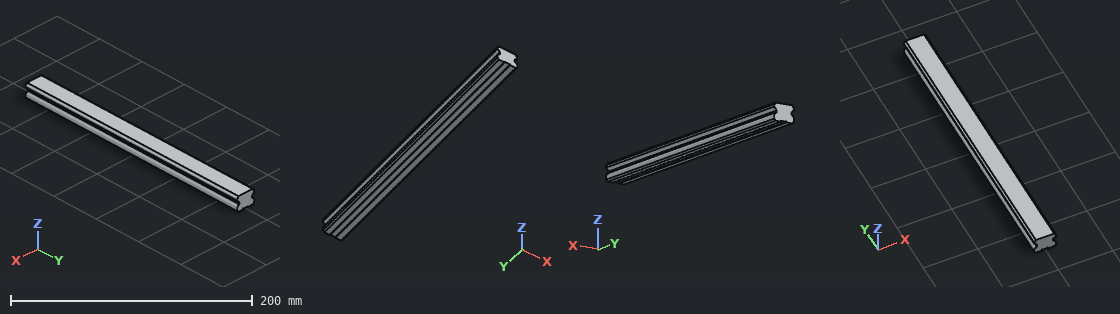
import cadquery as cq
import math

length = 250.0
width = 20.0
height = 15.5
half_width = width / 2

shoulder_wall = 0.2
shoulder_inner_radius = 1.2
shoulder_outer_radius = 0.2
head_bottom_height = 11.8

upper_flank_depth = 1.5
lower_flank_depth = 2.2
root_height = 1.5
root_depth = 2.8
base_top_height = 5.0
base_top_radius = 1.5

track_hollow = 0.12

base_chamfer = 1.5
relief_half_width = 2.8
relief_depth = 0.8

hole_count = 4
hole_pitch = 60.0
hole_diameter = 9.5
cap_thickness = 2.5


def rail_profile():
    """Right half of the cross-section, from the base relief up to the top, mirrored about X = 0."""
    diagonal = math.sin(math.radians(45))

    root_x = half_width - lower_flank_depth
    root_bottom = base_top_height + lower_flank_depth
    root_top = root_bottom + root_height
    root_mid = (half_width - root_depth, root_bottom + root_height / 2)

    track_x = half_width - upper_flank_depth
    track_top = head_bottom_height - upper_flank_depth
    track_mid = (
        (root_x + track_x) / 2 - track_hollow * diagonal,
        (root_top + track_top) / 2 + track_hollow * diagonal,
    )

    round_setback = base_top_radius * math.tan(math.radians(22.5))
    round_start = (half_width, base_top_height - round_setback)
    round_end = (half_width - round_setback * diagonal, base_top_height + round_setback * diagonal)

    shoulder_top = height - shoulder_wall - shoulder_inner_radius
    shoulder_mid_x = half_width - shoulder_outer_radius
    step_x = shoulder_mid_x - shoulder_inner_radius
    return (
        cq.Workplane("XZ", origin=(0, length / 2, 0))
        .moveTo(0, relief_depth)
        .lineTo(relief_half_width, relief_depth)
        .lineTo(relief_half_width, 0)
        .lineTo(half_width - base_chamfer, 0)
        .lineTo(half_width, base_chamfer)
        .lineTo(*round_start)
        .tangentArcPoint(round_end, relative=False)
        .lineTo(root_x, root_bottom)
        .threePointArc(root_mid, (root_x, root_top))
        .threePointArc(track_mid, (track_x, track_top))
        .lineTo(half_width, head_bottom_height)
        .lineTo(half_width, shoulder_top - shoulder_outer_radius)
        .tangentArcPoint((shoulder_mid_x, shoulder_top), relative=False)
        .tangentArcPoint((step_x, shoulder_top + shoulder_inner_radius), relative=False)
        .lineTo(step_x, height)
        .lineTo(0, height)
        .mirrorY()
    )


def hole_caps():
    """Discs filling the mounting holes from the top face down."""
    return (
        cq.Workplane("XY", origin=(0, 0, height))
        .rarray(2.5, hole_pitch, 1, hole_count)
        .circle(hole_diameter / 2)
        .extrude(-cap_thickness)
    )


rail = rail_profile().extrude(length)
caps = hole_caps()
result = rail.cut(caps).union(caps, clean=False)